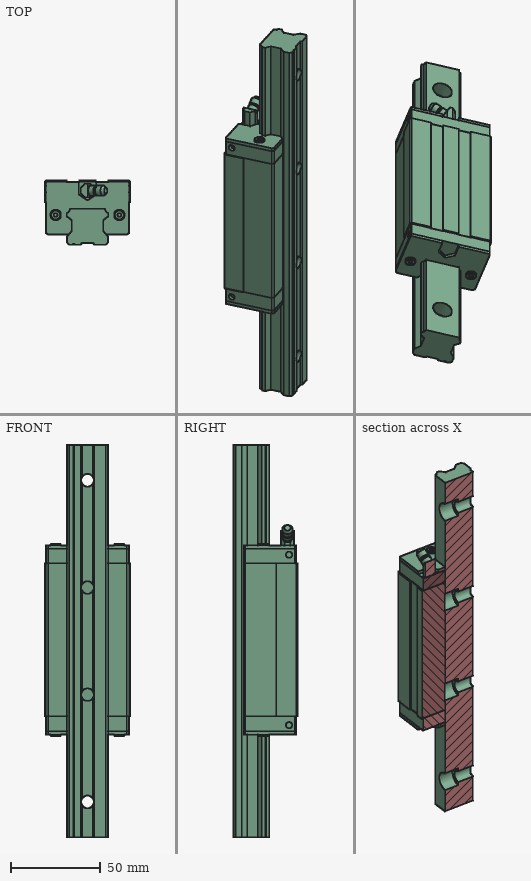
import cadquery as cq
import math

rail_length = 220.0
rail_width = 23.0
rail_height = 20.2
rail_top_flat = 19.4
rail_waist = 17.5
head_side_top = 17.8
head_side_bottom = 15.8
head_shelf_width = 1.0
head_shelf_height = 0.7
waist_top = 13.6
waist_bottom = 7.7
foot_top = 4.6
foot_chamfer = 1.3
base_groove_mouth = 7.5
base_groove_floor = 6.2
base_groove_depth = 0.9
mark_groove_offset = 7.7
mark_groove_width = 0.7
mark_groove_depth = 0.5
bolt_count = 4
bolt_pitch = 60.0
bolt_diameter = 7.0
bolt_head_diameter = 11.0
bolt_head_depth = 9.0

carriage_z = 0.7
block_length = 85.8
block_width = 48.0
block_top = 36.0
block_step_height = 24.0
block_top_chamfer = 0.9
carriage_bottom = 5.7
cap_width = 46.6
cap_top = 35.2
cap_length = 8.1
seal_length = 2.0
bottom_chamfer_width = 1.3
bottom_chamfer_height = 0.9
cap_top_chamfer_width = 0.5
cap_top_chamfer_height = 0.7
top_groove_width = 7.0
top_groove_offset = 8.1
top_groove_depth = 1.0

port_diameter = 3.5
port_depth = 2.6
port_y = 31.2
port_z = 47.7
screw_x = 17.8
screw_y = 16.7
screw_diameter = 6.0
screw_height = 0.9
screw_chamfer = 0.5
socket_sides = 6
socket_size = 2.5
socket_depth = 0.7

nipple_y = 30.4
notch_width = 9.7
notch_side_bottom = 28.2
notch_tip = 24.9
stem_sides = 8
stem_flats = 7.5
stem_top = 8.1
arm_angle = 30.0
arm_body_diameter = 6.0
arm_neck_diameter = 3.5
arm_tip_diameter = 3.5
collar_end = 3.3
head_start = 4.5
head_end = 8.0
arm_end = 9.7

cap_start = block_length / 2
seal_start = cap_start + cap_length
seal_end = seal_start + seal_length


def mirrored(right):
    """Closed symmetric outline from the points of its right half, listed bottom to top."""
    return right + [(-x, y) for x, y in reversed(right)]


def rail_outline():
    right = [
        (rail_width / 2 - foot_chamfer, 0),
        (rail_width / 2, foot_chamfer),
        (rail_width / 2, foot_top),
        (rail_waist / 2, waist_bottom),
        (rail_waist / 2, waist_top),
        (rail_width / 2 - head_shelf_width, head_side_bottom - head_shelf_height),
        (rail_width / 2, head_side_bottom),
        (rail_width / 2, head_side_top),
        (rail_width / 2 - head_shelf_width, head_side_top + head_shelf_height),
        (rail_top_flat / 2, rail_height),
    ]
    return mirrored(right)


def prism(points, z_start, length):
    return cq.Workplane("XY").workplane(offset=z_start).polyline(points).close().extrude(length)


def box(width, y_low, y_high, z_start, length, x=0.0):
    height = y_high - y_low
    return (cq.Workplane("XY").workplane(offset=z_start)
            .center(x, y_low + height / 2).rect(width, height).extrude(length))


def cylinder_along_y(diameter, y_start, length, z):
    return cq.Workplane(cq.Solid.makeCylinder(
        diameter / 2, length, cq.Vector(0, y_start, z), cq.Vector(0, 1, 0)))


def make_rail():
    rail = prism(rail_outline(), -rail_length / 2, rail_length)
    base_groove = [(-base_groove_mouth / 2, 0), (base_groove_mouth / 2, 0),
                   (base_groove_floor / 2, base_groove_depth),
                   (-base_groove_floor / 2, base_groove_depth)]
    rail = rail.cut(prism(base_groove, -rail_length / 2, rail_length))
    rail = rail.cut(box(mark_groove_width, 0, mark_groove_depth, -rail_length / 2, rail_length,
                        -mark_groove_offset))
    for i in range(bolt_count):
        z = (i - (bolt_count - 1) / 2) * bolt_pitch
        rail = rail.cut(cylinder_along_y(bolt_diameter, 0, rail_height, z))
        rail = rail.cut(cylinder_along_y(bolt_head_diameter, rail_height - bolt_head_depth,
                                         bolt_head_depth, z))
    return rail


def saddle(outline, z_start, length):
    """Prism that straddles the rail: the rail outline is cut out of it."""
    return prism(outline, z_start, length).cut(prism(rail_outline(), z_start, length))


def cap_outline():
    half = cap_width / 2
    right = [
        (half - bottom_chamfer_width, carriage_bottom),
        (half, carriage_bottom + bottom_chamfer_height),
        (half, cap_top - cap_top_chamfer_height),
        (half - cap_top_chamfer_width, cap_top),
    ]
    return mirrored(right)


def make_block():
    half = block_width / 2
    right = [
        (cap_width / 2 - bottom_chamfer_width, carriage_bottom),
        (cap_width / 2, carriage_bottom + bottom_chamfer_height),
        (cap_width / 2, block_step_height),
        (half, block_step_height),
        (half, block_top - block_top_chamfer),
        (half - block_top_chamfer, block_top),
    ]
    z_start = carriage_z - block_length / 2
    block = saddle(mirrored(right), z_start, block_length)
    for side in (-1, 1):
        block = block.cut(box(top_groove_width, block_top - top_groove_depth, block_top,
                              z_start, block_length, side * top_groove_offset))
    return block


def make_cap():
    """End cap between the block and a seal, with a grease port in each side."""
    cap = saddle(cap_outline(), cap_start, cap_length)
    for side in (-1, 1):
        port = cq.Solid.makeCylinder(port_diameter / 2, port_depth,
                                     cq.Vector(side * cap_width / 2, port_y, port_z),
                                     cq.Vector(-side, 0, 0))
        cap = cap.cut(cq.Workplane(port))
    return cap


def make_seal():
    """Seal plate with its two screw heads and the notch that clears a grease nipple."""
    seal = saddle(cap_outline(), seal_start, seal_length)
    half = notch_width / 2
    notch = [(-half, cap_top), (-half, notch_side_bottom), (0, notch_tip),
             (half, notch_side_bottom), (half, cap_top)]
    seal = seal.cut(prism(notch, seal_start, seal_length))
    screw_places = [(-screw_x, screw_y), (screw_x, screw_y)]
    heads = (cq.Workplane("XY").workplane(offset=seal_end)
             .pushPoints(screw_places)
             .circle(screw_diameter / 2).extrude(screw_height)
             .faces(">Z").edges().chamfer(screw_chamfer))
    sockets = (cq.Workplane("XY").workplane(offset=seal_end + screw_height)
               .pushPoints(screw_places)
               .polygon(socket_sides, socket_size).extrude(-socket_depth))
    return seal.union(heads).cut(sockets)


def make_stem():
    angle_to_flat = math.pi / stem_sides
    height = seal_length + stem_top
    octagon = (cq.Workplane("XY").workplane(offset=seal_start).center(0, nipple_y)
               .transformed(rotate=(0, 0, math.degrees(angle_to_flat)))
               .polygon(stem_sides, stem_flats / math.cos(angle_to_flat)).extrude(height))
    top = seal_start + height
    half = stem_flats / 2
    drop = half / math.tan(math.radians(arm_angle))
    wedge = (cq.Workplane("XZ", origin=(0, nipple_y - half, 0))
             .polyline([(0, top), (half, top), (half, top - drop)]).close().extrude(-stem_flats))
    return octagon.cut(wedge)


def make_arm():
    """Grease arm turned about its own axis, standing on the middle of the stem bevel."""
    body = arm_body_diameter / 2
    neck = arm_neck_diameter / 2
    profile = [(0, 0), (body, 0), (body, collar_end), (neck, collar_end), (neck, head_start),
               (body, head_start), (body, head_end), (arm_tip_diameter / 2, arm_end), (0, arm_end)]
    arm = cq.Workplane("XZ").polyline(profile).close().revolve(360, (0, 0, 0), (0, 1, 0))
    arm = arm.rotate((0, 0, 0), (0, 1, 0), 90 - arm_angle)
    root_x = stem_flats / 4
    root_z = seal_end + stem_top - root_x / math.tan(math.radians(arm_angle))
    return arm.translate((root_x, nipple_y, root_z))


def make_nipple():
    return make_stem().union(make_arm())


def at_both_ends(part):
    """One copy of an end part at the top of the carriage and a mirrored one at the bottom."""
    top = part.translate((0, 0, carriage_z))
    bottom = part.mirror("XY").translate((0, 0, carriage_z))
    return [top.val(), bottom.val()]


rail = make_rail()
block = make_block()
caps = at_both_ends(make_cap())
seals = at_both_ends(make_seal())
nipple = make_nipple().translate((0, 0, carriage_z))

result = cq.Compound.makeCompound([rail.val(), block.val(), *caps, *seals, nipple.val()])